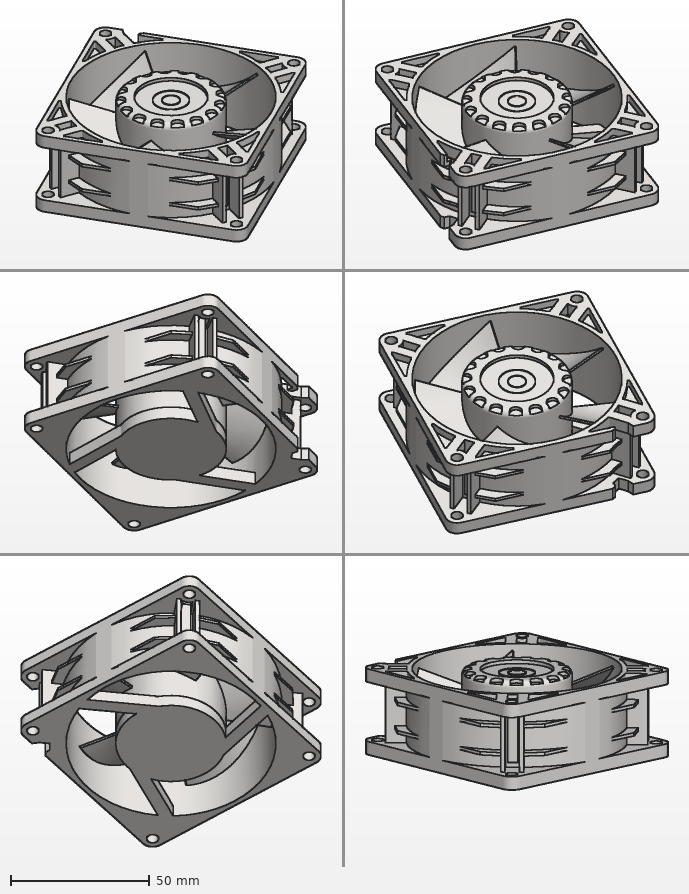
import cadquery as cq
import math

SIDE = 80.0
HALF = SIDE / 2
HEIGHT = 32.0
CORNER_RADIUS = 4.3
FLANGE = 5.0
TOP_FLANGE_BOTTOM = HEIGHT - FLANGE
BORE_RADIUS = 76.0 / 2
WALL_RADIUS = 40.2
WALL_MIDDLE = (BORE_RADIUS + WALL_RADIUS) / 2

DIAGONAL = math.sqrt(2)
DIAGONAL_ANGLE = 45
CORNER_COUNT = 4
NOTCHED_CORNER = 1

MOUNT_HOLE_DIAMETER = 4.3
MOUNT_HOLE_PLACE = HALF - CORNER_RADIUS

POCKET_DEPTH = 3.0
POCKET_RIM = 2.0
POCKET_EDGE = HALF - POCKET_RIM
POCKET_INNER_RADIUS = 40.0
POCKET_END = 14.6
SPOKE_HALF_WIDTH = 5.8
POCKET_FILLET = 0.4

SLOT_WIDTH = 3.7
SLOT_INNER_RADIUS = 40.0
SLOT_FLOOR = 6.7
HOLE_MARGIN_RADIUS = CORNER_RADIUS

BAR_THICKNESS = 1.5
BAR_OUTER_OFFSET = 4.2
BAR_END = 47.5

RIB_THICKNESS = 1.2
RIB_SPACING = 10.6
RIB_SIDE = 38.6
RIB_START = 10.8
RIB_KINK = 22.0
RIB_TIP = (34.2, 28.2)

NOTCH_SIDE = -24.0
NOTCH_FLOOR_RADIUS = 44.0
NOTCH_MOUTH_START = -30.6
NOTCH_MOUTH_DEPTH = 2.4
LIP_CHAMFER_X = 1.4
LIP_CHAMFER_Y = 1.0
HOOK_WIDTH = 1.8
HOOK_REACH = 2.1
HOOK_CHAMFER = 1.0

ARM_INNER_OFFSET = 13.8
ARM_OUTER_OFFSET = 18.8
ARM_COUNT = 3
ARM_START_ANGLE = 15

HUB_RADIUS = 40.0 / 2
HUB_ROUND = 2.4
CAP_RECESS_DIAMETER = 26.6
CAP_RECESS_DEPTH = 1.4
RING_OUTER_DIAMETER = 13.4
RING_INNER_DIAMETER = 6.6
RING_DEPTH = 0.3

SCALLOP_COUNT = 16
SCALLOP_RADIUS = 2.3
SCALLOP_PLACE = 18.8
SCALLOP_DEPTH = 1.4
SCALLOP_ANGLE = 1.7

BLADE_COUNT = 5
BLADE_START_ANGLE = 49.8
BLADE_SPAN = 51.4
BLADE_THICKNESS = 0.8
BLADE_PITCH = 40.0
BLADE_STEPS = 8
ROOT_SINK = 0.4
BLADE_ROOT_RADIUS = HUB_RADIUS - ROOT_SINK
BLADE_TIP_RADIUS = 37.0
ROOT_HIGH, ROOT_MIDDLE, ROOT_LOW = 24.6, 18.6, 15.0
TIP_HIGH, TIP_MIDDLE, TIP_LOW = 29.8, 17.8, 14.2


def cylinder(radius, bottom, top):
    return cq.Workplane("XY").workplane(offset=bottom).circle(radius).extrude(top - bottom)


def prism(points, bottom, top):
    return cq.Workplane("XY").workplane(offset=bottom).polyline(points).close().extrude(top - bottom)


def block(x_min, x_max, y_min, y_max, bottom, top):
    corners = [(x_min, y_min), (x_max, y_min), (x_max, y_max), (x_min, y_max)]
    return prism(corners, bottom, top)


def turned(shape, angle):
    """The shape turned about the fan's axis."""
    return shape.rotate((0, 0, 0), (0, 0, 1), angle)


def mirrored_about_diagonal(points):
    return [(y, x) for x, y in points]


def flange(bottom):
    plate = block(-HALF, HALF, -HALF, HALF, bottom, bottom + FLANGE)
    return plate.edges("|Z").fillet(CORNER_RADIUS)


def wall():
    """Round wall between the flanges, flattened where it meets the square sides."""
    square = block(-HALF, HALF, -HALF, HALF, FLANGE, TOP_FLANGE_BOTTOM)
    return cylinder(WALL_RADIUS, FLANGE, TOP_FLANGE_BOTTOM).intersect(square)


def corner_bars():
    """Two upright bars beside the diagonal of the +X +Y corner."""
    inner = BAR_OUTER_OFFSET - BAR_THICKNESS
    left = block(WALL_MIDDLE, BAR_END, inner, BAR_OUTER_OFFSET, FLANGE, TOP_FLANGE_BOTTOM)
    right = block(WALL_MIDDLE, BAR_END, -BAR_OUTER_OFFSET, -inner, FLANGE, TOP_FLANGE_BOTTOM)
    return turned(left.union(right), DIAGONAL_ANGLE)


def corner_ribs(bottom):
    """Thin rib on both sides of the +X +Y corner, each ending at a bar."""
    bar_root = ((WALL_MIDDLE + BAR_OUTER_OFFSET) / DIAGONAL,
                (WALL_MIDDLE - BAR_OUTER_OFFSET) / DIAGONAL)
    outline = [(RIB_SIDE, RIB_START), (RIB_SIDE, RIB_KINK), RIB_TIP, bar_root]
    rib = prism(outline, bottom, bottom + RIB_THICKNESS)
    return rib.union(prism(mirrored_about_diagonal(outline), bottom, bottom + RIB_THICKNESS))


def triangle_pocket(floor):
    """Pocket along the +Y side, right of the middle, with an arc towards the bore."""
    spoke_shift = SPOKE_HALF_WIDTH * DIAGONAL
    outline = [
        (POCKET_END, POCKET_END + spoke_shift),
        (POCKET_END, POCKET_EDGE),
        (POCKET_EDGE - spoke_shift, POCKET_EDGE),
    ]
    pocket = prism(outline, floor, HEIGHT).cut(cylinder(POCKET_INNER_RADIUS, floor, HEIGHT))
    return pocket.edges("|Z").fillet(POCKET_FILLET)


def corner_pockets():
    """The two triangular pockets of the +X +Y corner."""
    floor = HEIGHT - POCKET_DEPTH
    pocket = triangle_pocket(floor)
    return pocket.union(turned(pocket.mirror("YZ"), -90))


def corner_slot():
    """Slot on the +X +Y diagonal, kept clear of the mounting hole and cut a little into the wall."""
    hole_distance = MOUNT_HOLE_PLACE * DIAGONAL
    slot = block(0, hole_distance, -SLOT_WIDTH / 2, SLOT_WIDTH / 2, SLOT_FLOOR, HEIGHT)
    slot = slot.cut(cylinder(SLOT_INNER_RADIUS, SLOT_FLOOR, HEIGHT))
    margin = cylinder(HOLE_MARGIN_RADIUS, SLOT_FLOOR, HEIGHT).translate((hole_distance, 0, 0))
    return turned(slot.cut(margin), DIAGONAL_ANGLE)


def cable_notch():
    """Opening through both flanges at the -X end of the +Y side."""
    spoke_shift = SPOKE_HALF_WIDTH * DIAGONAL
    mouth_y = HALF - NOTCH_MOUTH_DEPTH
    outline = [
        (NOTCH_SIDE, -NOTCH_SIDE),
        (NOTCH_SIDE, HALF - LIP_CHAMFER_Y),
        (NOTCH_SIDE + LIP_CHAMFER_X, HALF),
        (NOTCH_MOUTH_START, HALF),
        (spoke_shift - mouth_y, mouth_y),
        (NOTCH_SIDE, spoke_shift - NOTCH_SIDE),
    ]
    return prism(outline, 0, HEIGHT).cut(cylinder(NOTCH_FLOOR_RADIUS, 0, HEIGHT))


def notch_pocket():
    """The triangular pocket beside the notch: open through the top flange except for a small hook."""
    bottom = TOP_FLANGE_BOTTOM
    pocket = triangle_pocket(bottom).mirror("YZ")
    hook_end = POCKET_EDGE - HOOK_REACH
    hook = prism(
        [
            (NOTCH_SIDE, HALF),
            (NOTCH_SIDE + HOOK_WIDTH, HALF),
            (NOTCH_SIDE + HOOK_WIDTH, hook_end),
            (NOTCH_SIDE + HOOK_CHAMFER, hook_end),
            (NOTCH_SIDE, hook_end + HOOK_CHAMFER),
        ],
        bottom,
        HEIGHT - POCKET_DEPTH,
    )
    return pocket.cut(hook)


def motor_base():
    """Disc under the hub, with three arms that run off it to the wall."""
    base = cylinder(HUB_RADIUS, 0, FLANGE)
    rim = cylinder(WALL_MIDDLE, 0, FLANGE)
    for index in range(ARM_COUNT):
        arm = block(0, HALF, ARM_INNER_OFFSET, ARM_OUTER_OFFSET, 0, FLANGE)
        base = base.union(turned(arm, ARM_START_ANGLE + index * 360 / ARM_COUNT).intersect(rim))
    return base


def mount_hole():
    hole = cylinder(MOUNT_HOLE_DIAMETER / 2, 0, HEIGHT)
    return hole.translate((MOUNT_HOLE_PLACE, MOUNT_HOLE_PLACE, 0))


def make_frame():
    frame = flange(0).union(wall()).union(flange(TOP_FLANGE_BOTTOM))
    rib_levels = [HEIGHT / 2 + side * RIB_SPACING / 2 - RIB_THICKNESS / 2 for side in (-1, 1)]
    for corner in range(CORNER_COUNT):
        angle = corner * 360 / CORNER_COUNT
        frame = frame.union(turned(corner_bars(), angle))
        for level in rib_levels:
            frame = frame.union(turned(corner_ribs(level), angle))
        frame = frame.cut(turned(mount_hole(), angle))
        frame = frame.cut(turned(corner_slot(), angle))
        if corner == NOTCHED_CORNER:
            side_pocket = triangle_pocket(HEIGHT - POCKET_DEPTH)
            frame = frame.cut(turned(side_pocket, angle)).cut(notch_pocket()).cut(cable_notch())
        else:
            frame = frame.cut(turned(corner_pockets(), angle))
    frame = frame.cut(cylinder(BORE_RADIUS, 0, HEIGHT))
    return frame.union(motor_base())


def make_hub():
    hub = cylinder(HUB_RADIUS, FLANGE, HEIGHT).faces(">Z").edges().fillet(HUB_ROUND)
    floor = HEIGHT - CAP_RECESS_DEPTH
    hub = hub.cut(cylinder(CAP_RECESS_DIAMETER / 2, floor, HEIGHT))
    ring = cylinder(RING_OUTER_DIAMETER / 2, floor - RING_DEPTH, floor)
    hub = hub.cut(ring.cut(cylinder(RING_INNER_DIAMETER / 2, floor - RING_DEPTH, floor)))
    scallop_floor = HEIGHT - SCALLOP_DEPTH
    scallop = cylinder(SCALLOP_RADIUS, scallop_floor, HEIGHT).translate((SCALLOP_PLACE, 0, 0))
    mouth_end = HUB_RADIUS + SCALLOP_RADIUS
    mouth = block(SCALLOP_PLACE, mouth_end, -SCALLOP_RADIUS, SCALLOP_RADIUS, scallop_floor, HEIGHT)
    scallop = scallop.union(mouth)
    for index in range(SCALLOP_COUNT):
        hub = hub.cut(turned(scallop, SCALLOP_ANGLE + index * 360 / SCALLOP_COUNT))
    return hub


def blade_edge(radius, high, middle, low):
    """Curve at one radius, falling from high to low along a parabola as the angle grows."""
    points = []
    for step in range(BLADE_STEPS + 1):
        t = step / BLADE_STEPS
        z = high * (1 - t) * (1 - 2 * t) + middle * 4 * t * (1 - t) + low * t * (2 * t - 1)
        angle = math.radians((t - 0.5) * BLADE_SPAN)
        points.append(cq.Vector(radius * math.cos(angle), radius * math.sin(angle), z))
    return cq.Edge.makeSpline(points)


def make_blade():
    """Ruled surface from root to tip, thickened square to its pitch; its middle lies on +X."""
    root = blade_edge(BLADE_ROOT_RADIUS, ROOT_HIGH, ROOT_MIDDLE, ROOT_LOW)
    tip = blade_edge(BLADE_TIP_RADIUS, TIP_HIGH, TIP_MIDDLE, TIP_LOW)
    surface = cq.Face.makeRuledSurface(root, tip)
    pitch = math.radians(BLADE_PITCH)
    thickness = cq.Vector(0, -math.sin(pitch), -math.cos(pitch)) * BLADE_THICKNESS
    return cq.Workplane(cq.Solid.extrudeLinear(surface, thickness))


def make_impeller():
    impeller = make_hub()
    blade = make_blade()
    for index in range(BLADE_COUNT):
        middle_angle = BLADE_START_ANGLE + BLADE_SPAN / 2 + index * 360 / BLADE_COUNT
        impeller = impeller.union(turned(blade, middle_angle))
    return impeller


frame = make_frame()
impeller = make_impeller()

result = cq.Compound.makeCompound([frame.solids().val(), impeller.solids().val()])